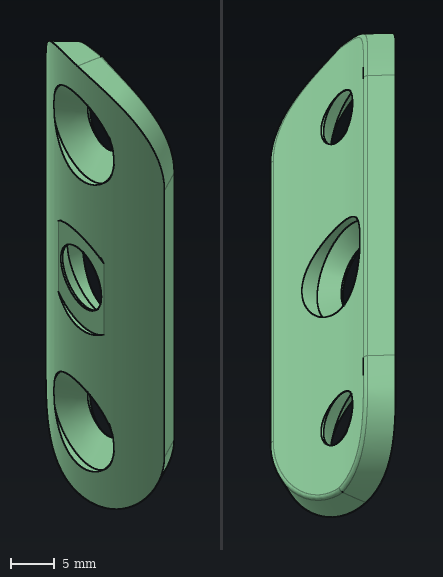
import cadquery as cq
import math

length = 64.0
width = 24.0
outer_radius = 20.7
thickness = 3.7
inner_radius = outer_radius - thickness
inner_edge_fillet = 0.5
corner_radius = width / 2

screw_spacing = 43.0
screw_hole_diameter = 6.6
sink_diameter = 12.3
sink_wall_depth = 0.8

middle_hole_diameter = 8.2
middle_lip_depth = 0.25
spot_face_diameter = 14.1
spot_face_depth = 0.5
inner_bore_diameter = 12.15

half_angle = math.degrees(math.asin(width / 2 / outer_radius))
clearance = 1.3
through_depth = 2 * thickness


def half_plate():
    """The +X half of the plate, bent around Z, with its two corners rounded."""
    bend = (
        cq.Workplane("XY", origin=(0, 0, -length / 2))
        .circle(outer_radius)
        .circle(inner_radius)
        .extrude(length)
    )
    rounded_block = (
        cq.Workplane("XY")
        .box(2 * outer_radius, outer_radius, length)
        .edges("|X and >Y")
        .fillet(corner_radius)
        .translate((outer_radius, -outer_radius / 2, 0))
        .rotate((0, 0, 0), (0, 0, 1), half_angle - 90)
    )
    strip = bend.intersect(rounded_block)
    inner_face = strip.faces(cq.selectors.NearestToPointSelector((0, -inner_radius, 0)))
    strip = inner_face.edges("not <X").fillet(inner_edge_fillet)
    positive_x = cq.Workplane("XY").box(width, 3 * outer_radius, length, centered=(False, True, True))
    return strip.intersect(positive_x)


def bent_plate():
    half = half_plate()
    plate = half.union(half.mirror("YZ"))
    return plate.translate((0, outer_radius, 0))


def turned_cutter(profile):
    """Solid turned about the Y axis from (radius, depth) points; depth runs along +Y."""
    closed_profile = [(0, profile[0][1])] + profile + [(0, profile[-1][1])]
    return cq.Workplane("XY").polyline(closed_profile).close().revolve(360, (0, 0, 0), (0, 1, 0))


def screw_hole_cutter():
    mouth_radius = sink_diameter / 2
    hole_radius = screw_hole_diameter / 2
    cone_end = sink_wall_depth + mouth_radius - hole_radius
    return turned_cutter([
        (mouth_radius, -clearance),
        (mouth_radius, sink_wall_depth),
        (hole_radius, cone_end),
        (hole_radius, through_depth),
    ])


def middle_hole_cutter():
    spot_radius = spot_face_diameter / 2
    hole_radius = middle_hole_diameter / 2
    bore_radius = inner_bore_diameter / 2
    lip_end = spot_face_depth + middle_lip_depth
    cone_end = lip_end + bore_radius - hole_radius
    return turned_cutter([
        (spot_radius, -clearance),
        (spot_radius, spot_face_depth),
        (hole_radius, spot_face_depth),
        (hole_radius, lip_end),
        (bore_radius, cone_end),
        (bore_radius, through_depth),
    ])


result = bent_plate().cut(middle_hole_cutter())
for screw_z in (-screw_spacing / 2, screw_spacing / 2):
    result = result.cut(screw_hole_cutter().translate((0, 0, screw_z)))